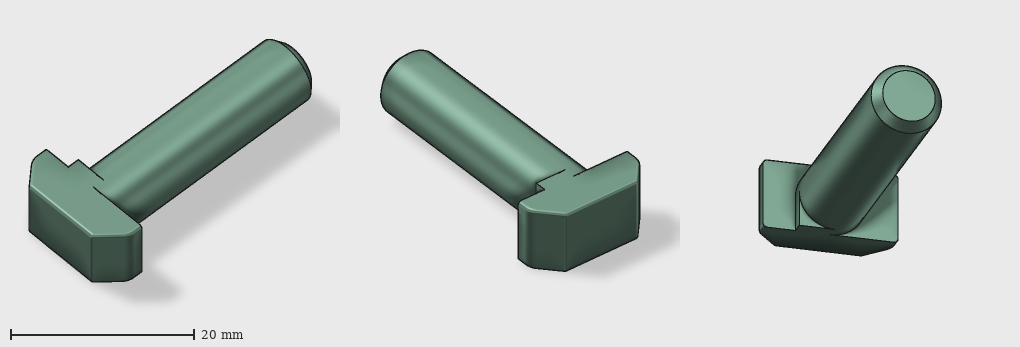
import cadquery as cq

total_length = 35.0
shank_diameter = 8.0
head_width = 15.4
head_thickness = 5.0
shank_length = total_length - head_thickness
shank_radius = shank_diameter / 2

nose_width = 10.0
flank_depth = 2.0
shoulder_radius = 2.0
edge_radius = 0.5

tip_chamfer = 1.0
neck_length = 1.5


def make_head():
    """Hammer head tapering to a flat nose, rounded everywhere but at the seating face."""
    half_width = head_width / 2
    half_nose = nose_width / 2
    head = (
        cq.Workplane("XY")
        .polyline([
            (-half_width, 0),
            (-half_width, -flank_depth),
            (-half_nose, -head_thickness),
            (half_nose, -head_thickness),
            (half_width, -flank_depth),
            (half_width, 0),
        ])
        .close()
        .extrude(shank_radius, both=True)
    )
    nose_corners = head.faces("<Y").edges("|Z")
    head = nose_corners.fillet(edge_radius)
    shoulders = cq.selectors.BoxSelector(
        (-head_width, -flank_depth - edge_radius, -shank_diameter),
        (head_width, -flank_depth + edge_radius, shank_diameter),
    )
    head = head.edges("|Z").edges(shoulders).fillet(shoulder_radius)
    return head.faces("|Z").edges("not >Y").fillet(edge_radius)


def make_shank():
    """Round shank with a chamfered tip."""
    shank = cq.Workplane("XZ").circle(shank_radius).extrude(-shank_length)
    return shank.faces(">Y").chamfer(tip_chamfer)


def make_neck(side):
    """Square quarter under the head: side -1 is at -X, +Z and side 1 is at +X, -Z."""
    return (
        cq.Workplane("XY")
        .box(shank_radius, neck_length, shank_radius)
        .translate((side * shank_radius / 2, neck_length / 2, -side * shank_radius / 2))
    )


result = make_head().union(make_shank())
for side in (-1, 1):
    result = result.union(make_neck(side))